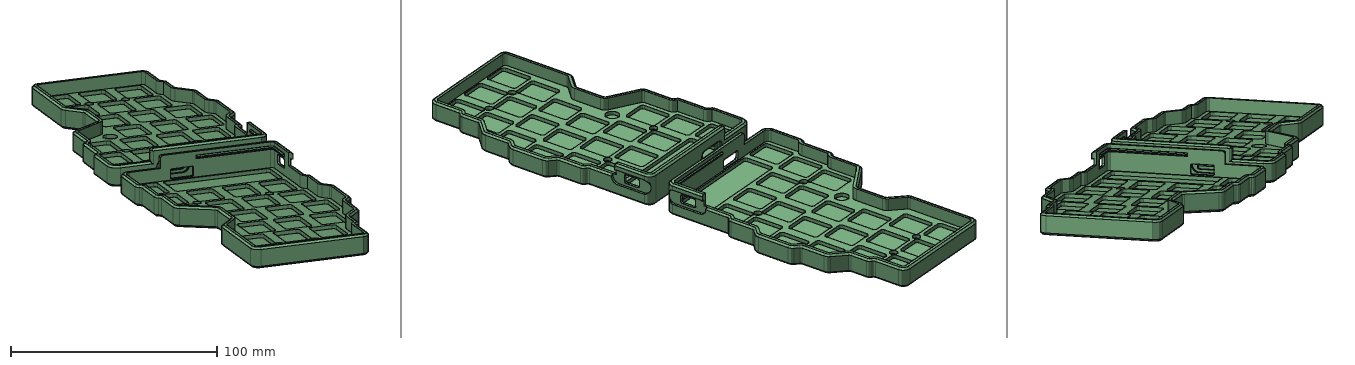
import cadquery as cq
import math

total_length = 284.5
total_depth = 89.5
total_height = 17.0
half_gap = 4.4

wall = 2.5
rim_height = 10.5
floor_top = 4.0
edge_chamfer = 1.0
corner_radius = 1.5
front_corner_radius = 2.5
inside_bend_radius = corner_radius + wall

key_width = 17.0
key_depth = 14.0
key_gap = 1.93
pitch = key_width + key_gap
key_radius = 1.5
key_recess = 2.0
cell_margin = 2.33
first_key_x = 7.82

cavity_left = half_gap + wall
cavity_right = total_length / 2 - wall
cavity_back = total_depth / 2 - wall
cavity_front = -cavity_back
column_tops = [35.5, 35.5, 37.8, cavity_back, 38.7, 30.7, 28.5]
notch_y = -20.0
notch_angle = 60.0

tall_wall_end_x = 26.2
tall_wall_end_y = -23.5

bead_height = 1.7
bead_depth = 0.9
bead_root = 0.9
bead_slope = 0.5
bead_z = 14.2
bead_end_x = 21.0
bead_end_y = -4.8

usb_x = 16.8
usb_z = 10.0
usb_width = 8.8
usb_height = 4.8
jack_y = -12.2
jack_z = 7.0
jack_width = 12.0
jack_height = 5.0
opening_radius = 0.9
usb_recess_width = 22.8
jack_recess_width = 17.4
recess_height = 8.0
recess_radius = 3.7
recess_depth = 1.25

pocket_front_y = -22.8
thumb_key_top = -26.03

screw_diameter = 2.2
screw_head_diameter = 4.0
inner_screw_y = 18.0
outer_screw_y = 10.8
button_diameter = 7.0
button_x = 68.5
button_y = -18.8


def column_edge(index):
    """X of the boundary on the left of a key column."""
    return first_key_x - key_gap / 2 + index * pitch


def column_bottom(index, rows):
    """Y of the cavity edge in front of a column with this many keys."""
    return column_tops[index] - 2 * cell_margin - key_depth - (rows - 1) * pitch


def step_run(height):
    """Length along X of a bend that climbs a column step smaller than its own radius."""
    return math.sqrt(inside_bend_radius**2 - (inside_bend_radius - height) ** 2)


def cavity_outline():
    """Corners of the cavity in order from its front inner corner, each with its fillet radius.

    A radius of None marks the start of an arc that climbs a column step to the next corner.
    """
    edge = [column_edge(i) for i in range(7)]
    top = column_tops
    front_1 = column_bottom(1, 4)
    front_2 = column_bottom(2, 4)
    front_outer = column_bottom(6, 3)
    notch_start_x = edge[3] + (notch_y - front_2) / math.tan(math.radians(notch_angle))
    notch_end_x = edge[5] - (notch_y - front_outer)
    outward = corner_radius
    inward = inside_bend_radius
    return [
        (cavity_left, cavity_front, front_corner_radius),
        (edge[1], cavity_front, None),
        (edge[1] + step_run(front_1 - cavity_front), front_1, 0),
        (edge[2], front_1, None),
        (edge[2] + step_run(front_2 - front_1), front_2, 0),
        (edge[3], front_2, outward),
        (notch_start_x, notch_y, inward),
        (notch_end_x, notch_y, inward),
        (edge[5], front_outer, outward),
        (cavity_right, front_outer, outward),
        (cavity_right, top[6], outward),
        (edge[6] + step_run(top[5] - top[6]), top[6], None),
        (edge[6], top[5], 0),
        (edge[5] + top[4] - top[5], top[5], inward),
        (edge[5], top[4], outward),
        (edge[4] + top[3] - top[4], top[4], inward),
        (edge[4], top[3], outward),
        (edge[3], top[3], outward),
        (edge[3] - (top[3] - top[2]), top[2], inward),
        (edge[2], top[2], None),
        (edge[2] - step_run(top[2] - top[1]), top[1], 0),
        (cavity_left, top[1], outward),
    ]


def cavity(bottom, height):
    """Inside of the shell between two levels, with its corners rounded."""
    corners = cavity_outline()
    path = cq.Workplane("XY").workplane(offset=bottom).moveTo(*corners[0][:2])
    for (_, _, radius), (x, y, _) in zip(corners[:-1], corners[1:]):
        if radius is None:
            path = path.radiusArc((x, y), inside_bend_radius)
        else:
            path = path.lineTo(x, y)
    prism = path.close().extrude(height)
    for radius in (front_corner_radius, corner_radius, inside_bend_radius):
        places = [cq.Vector(x, y, bottom + height / 2) for x, y, r in corners if r == radius]
        uprights = [e for e in prism.edges("|Z").vals() if min((e.Center() - p).Length for p in places) < 0.03]
        prism = prism.newObject(uprights).fillet(radius)
    return prism


def outer_block(height):
    """Outside of the shell up to the given height, with its top and bottom edges chamfered."""
    outline = cavity(0, 2.8).faces("<Z").wires().toPending().offset2D(wall, "arc")
    return outline.extrude(height).faces("<Z or >Z").edges().chamfer(edge_chamfer)


def tall_wall():
    """L-shaped screen wall that rises above the rim along the back and the inner side."""
    side_width = wall + corner_radius
    x_size = tall_wall_end_x - half_gap
    y_size = total_depth / 2 - tall_wall_end_y
    back_depth = total_depth / 2 - column_tops[0] + corner_radius
    back = cq.Workplane("XY").box(x_size, back_depth, total_height, centered=False)
    back = back.translate((half_gap, total_depth / 2 - back_depth, 0))
    side = cq.Workplane("XY").box(side_width, y_size, total_height, centered=False)
    side = side.faces("<Y").edges(">Z").chamfer(edge_chamfer)
    side = side.edges("|Z and <X and <Y").fillet(edge_chamfer)
    side = side.translate((half_gap, tall_wall_end_y, 0))
    return outer_block(total_height).intersect(back.union(side))


def shell():
    walls = outer_block(rim_height).union(tall_wall())
    return walls.cut(cavity(floor_top, total_height))


def snap_bead():
    """Bead with sloping flanks around the inner corner of the tall wall."""
    back_y = column_tops[0]
    x_size = bead_end_x - cavity_left + bead_root
    y_size = back_y + bead_root - bead_end_y
    block = cq.Workplane("XY").box(x_size, y_size, bead_height, centered=False)
    opening = cq.Workplane("XY").box(x_size, y_size, bead_height, centered=False)
    opening = opening.edges("|Z and <X and >Y").fillet(corner_radius - bead_depth)
    reach = bead_root + bead_depth
    bead = block.cut(opening.translate((reach, -reach, 0)))
    inner = cq.selectors.BoxSelector((reach - 0.03, -2.8, -2.8), (x_size - 0.03, y_size - reach + 0.03, 2.8))
    bead = bead.faces("<Z or >Z").edges(inner).chamfer(bead_slope, bead_slope)
    return bead.translate((cavity_left - bead_root, bead_end_y, bead_z - bead_height / 2))


def key_windows():
    """Shallow recesses in the floor, one under every key, and one for the screen."""
    rows = [0, 4, 4, 3, 3, 3, 3]
    places = [(0, thumb_key_top)]
    for column, count in enumerate(rows):
        for row in range(count):
            places.append((column, column_tops[column] - cell_margin - row * pitch))
    centres = [(first_key_x + c * pitch + key_width / 2, top - key_depth / 2) for c, top in places]
    bottom = floor_top - key_recess
    keys = cq.Workplane("XY").workplane(offset=bottom).pushPoints(centres)
    keys = keys.rect(key_width, key_depth).extrude(total_height).edges("|Z").fillet(key_radius)
    pocket_back_y = column_tops[0] - cell_margin
    pocket = cq.Workplane("XY").box(key_width, pocket_back_y - pocket_front_y, total_height, centered=False)
    pocket = pocket.edges("|Z").fillet(key_radius).translate((first_key_x, pocket_front_y, bottom))
    return [keys, pocket]


def floor_holes():
    """Four countersunk screw holes and the round button recess."""
    screws = []
    for edge, y, rows_apart in ((2, inner_screw_y, 2), (6, outer_screw_y, 1)):
        x = column_edge(edge)
        screws += [(x, y), (x, y - rows_apart * pitch)]
    bottom = floor_top - key_recess
    through = cq.Workplane("XY").pushPoints(screws).circle(screw_diameter / 2).extrude(floor_top)
    heads = cq.Workplane("XY").workplane(offset=bottom).pushPoints(screws)
    heads = heads.circle(screw_head_diameter / 2).extrude(total_height)
    button = cq.Workplane("XY").workplane(offset=bottom).center(button_x, button_y)
    button = button.circle(button_diameter / 2).extrude(total_height)
    return [through, heads, button]


def rounded_block(plane, width, height, radius, depth):
    """Block with rounded corners, standing on an XZ or YZ plane."""
    along = {"XZ": "|Y", "YZ": "|X"}[plane]
    return cq.Workplane(plane).rect(width, height).extrude(depth).edges(along).fillet(radius)


def cable_openings():
    depth = 2 * wall
    back_y = column_tops[0] + wall
    usb = rounded_block("XZ", usb_width, usb_height, opening_radius, depth)
    usb = usb.translate((usb_x, back_y + wall / 2, usb_z))
    usb_recess = rounded_block("XZ", usb_recess_width, recess_height, recess_radius, 2 * recess_depth)
    usb_recess = usb_recess.translate((usb_x, back_y + recess_depth, usb_z))
    jack = rounded_block("YZ", jack_width, jack_height, opening_radius, depth)
    jack = jack.translate((half_gap - wall / 2, jack_y, jack_z))
    jack_recess = rounded_block("YZ", jack_recess_width, recess_height, recess_radius, 2 * recess_depth)
    jack_recess = jack_recess.translate((half_gap - recess_depth, jack_y, jack_z))
    return [usb, usb_recess, jack, jack_recess]


def right_half():
    half = shell().union(snap_bead())
    for cutter in key_windows() + floor_holes() + cable_openings():
        half = half.cut(cutter)
    return half


right_case = right_half()
left_case = right_case.mirror("YZ")
result = cq.Compound.makeCompound([left_case.val(), right_case.val()])